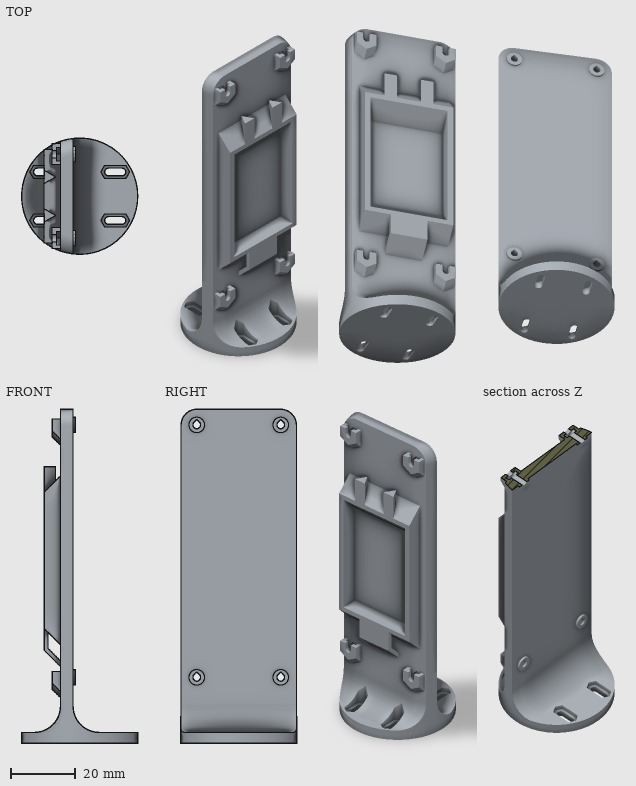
import cadquery as cq
import math

base_radius = 18.0
base_thickness = 3.4
total_height = 103.4
wall_front = -6.0
wall_back = -2.0
root_fillet = 8.0
top_corner_radius = 5.0

shell = 1.25
hole_diameter = 2.3
nut_flats = 4.1
cut_margin = 1.0

slot_center_x = 11.0
slot_center_y = 7.5
slot_travel = 4.2
nut_seat_height = 2.0

holder_y = 13.0
holder_lower_z = 20.4
holder_upper_z = 98.5
holder_flats = 6.5
holder_depth = 2 * shell
spacer_diameter = hole_diameter + 2 * shell
spacer_length = 0.7

frame_front = -11.0
frame_depth = wall_front - frame_front
frame_width = 29.0
frame_front_bottom = 35.5
frame_front_top = 77.7
window_width = 25.3
window_bottom = 37.0
window_top = 76.1
window_depth = 5.3

prong_side = 4.1
prong_y = 5.95
prong_top = 85.6
loop_width = 12.0
loop_front_bottom = 28.8


def hexagon_radius(flats):
    """Corner radius of a regular hexagon from its width across flats."""
    return flats / math.sqrt(3)


def side_profile(points, width):
    """Extrude an XZ outline symmetrically about Y = 0."""
    return cq.Workplane("XZ").polyline(points).close().extrude(width / 2, both=True)


def make_stand():
    """Wall with concave root fillets, trimmed by a round-topped cylinder."""
    fillet_top = base_thickness + root_fillet
    arc_inset = root_fillet * (1 - math.sqrt(0.5))
    profile = (
        cq.Workplane("XZ")
        .moveTo(-base_radius, 0)
        .lineTo(base_radius, 0)
        .lineTo(base_radius, base_thickness)
        .lineTo(wall_back + root_fillet, base_thickness)
        .threePointArc((wall_back + arc_inset, base_thickness + arc_inset), (wall_back, fillet_top))
        .lineTo(wall_back, total_height)
        .lineTo(wall_front, total_height)
        .lineTo(wall_front, fillet_top)
        .threePointArc(
            (wall_front - arc_inset, base_thickness + arc_inset),
            (wall_front - root_fillet, base_thickness),
        )
        .lineTo(-base_radius, base_thickness)
        .close()
        .extrude(base_radius, both=True)
    )
    envelope = cq.Workplane("XY").circle(base_radius).extrude(total_height)
    return profile.intersect(envelope.faces(">Z").edges().fillet(top_corner_radius))


def make_base_slot(x, y):
    """Screw slot through the base with a hexagon-ended nut recess above it."""
    screw_slot = (
        cq.Workplane("XY")
        .center(x, y)
        .slot2D(slot_travel + hole_diameter, hole_diameter)
        .extrude(base_thickness)
    )
    radius = hexagon_radius(nut_flats)
    tip_x = slot_travel / 2 + radius
    corner_x = slot_travel / 2 + radius / 2
    half_width = nut_flats / 2
    outline = [
        (tip_x, 0),
        (corner_x, half_width),
        (-corner_x, half_width),
        (-tip_x, 0),
        (-corner_x, -half_width),
        (corner_x, -half_width),
    ]
    nut_recess = (
        cq.Workplane("XY", origin=(x, y, nut_seat_height))
        .polyline(outline)
        .close()
        .extrude(root_fillet + base_thickness)
    )
    return screw_slot.union(nut_recess)


def pointed_outline(flats, top, drop):
    """Upright outline with a hexagon point at the bottom, its point lowered by drop."""
    radius = hexagon_radius(flats)
    half_width = flats / 2
    return [
        (-half_width, top),
        (-half_width, -radius / 2 - drop),
        (0, -radius - drop),
        (half_width, -radius / 2 - drop),
        (half_width, top),
    ]


def make_holder(y, z):
    """Nut holder whose underside slopes 45 degrees to the wall, plus the rear spacer."""
    top = hexagon_radius(holder_flats) / 2
    holder = (
        cq.Workplane("YZ", origin=(wall_front - holder_depth, y, z))
        .polyline(pointed_outline(holder_flats, top, 0))
        .close()
        .workplane(offset=holder_depth)
        .polyline(pointed_outline(holder_flats, top, holder_depth))
        .close()
        .loft(ruled=True)
    )
    spacer = cq.Workplane("YZ", origin=(wall_back, y, z)).circle(spacer_diameter / 2).extrude(spacer_length)
    return holder.union(spacer)


def make_holder_cut(y, z):
    """Nut pocket and screw slot, both open at the top, and the teardrop hole through the wall."""
    holder_front = wall_front - holder_depth
    open_top = hexagon_radius(holder_flats) / 2 + cut_margin
    nut_pocket = (
        cq.Workplane("YZ", origin=(holder_front + shell, y, z))
        .polyline(pointed_outline(nut_flats, open_top, 0))
        .close()
        .extrude(holder_depth - shell)
    )
    screw_slot = (
        cq.Workplane("YZ", origin=(holder_front, y, z))
        .center(0, open_top / 2)
        .rect(hole_diameter, open_top)
        .extrude(shell)
    )
    hole_length = wall_back + spacer_length - holder_front
    tangent = hole_diameter / 2 * math.sqrt(0.5)
    screw_hole = (
        cq.Workplane("YZ", origin=(holder_front, y, z))
        .moveTo(-tangent, tangent)
        .threePointArc((0, -hole_diameter / 2), (tangent, tangent))
        .lineTo(0, 2 * tangent)
        .close()
        .extrude(hole_length)
    )
    return nut_pocket.union(screw_slot).union(screw_hole)


def make_frame():
    """Solid block with top and bottom faces flaring 45 degrees toward the wall."""
    outline = [
        (frame_front, frame_front_bottom),
        (wall_front, frame_front_bottom - frame_depth),
        (wall_front, frame_front_top + frame_depth),
        (frame_front, frame_front_top),
    ]
    return side_profile(outline, frame_width)


def make_window():
    """Frame opening with a level floor and a ceiling falling 45 degrees inward."""
    window_back = frame_front + window_depth
    outline = [
        (frame_front, window_bottom),
        (window_back, window_bottom),
        (window_back, window_top - window_depth),
        (frame_front, window_top),
    ]
    return side_profile(outline, window_width)


def make_prong(y):
    """Upright prong with an equilateral triangle section, flush with the frame front."""
    outline = [
        (frame_front, y - prong_side / 2),
        (frame_front + prong_side * math.sqrt(3) / 2, y),
        (frame_front, y + prong_side / 2),
    ]
    return (
        cq.Workplane("XY", origin=(0, 0, frame_front_top))
        .polyline(outline)
        .close()
        .extrude(prong_top - frame_front_top)
    )


def make_loop():
    """Bent strap of even thickness running down from the frame and back to the wall."""
    inner_front = frame_front + shell
    inner_wall_z = loop_front_bottom - frame_depth + shell * math.sqrt(2)
    outline = [
        (frame_front, frame_front_bottom),
        (frame_front, loop_front_bottom),
        (wall_front, loop_front_bottom - frame_depth),
        (wall_front, inner_wall_z),
        (inner_front, inner_wall_z + wall_front - inner_front),
        (inner_front, frame_front_bottom - shell),
    ]
    return side_profile(outline, loop_width)


holder_places = [(y, z) for y in (-holder_y, holder_y) for z in (holder_lower_z, holder_upper_z)]

result = make_stand().union(make_frame()).union(make_loop())
for prong_center in (-prong_y, prong_y):
    result = result.union(make_prong(prong_center))
for y, z in holder_places:
    result = result.union(make_holder(y, z))

result = result.cut(make_window())
for y, z in holder_places:
    result = result.cut(make_holder_cut(y, z))
for x in (-slot_center_x, slot_center_x):
    for y in (-slot_center_y, slot_center_y):
        result = result.cut(make_base_slot(x, y))